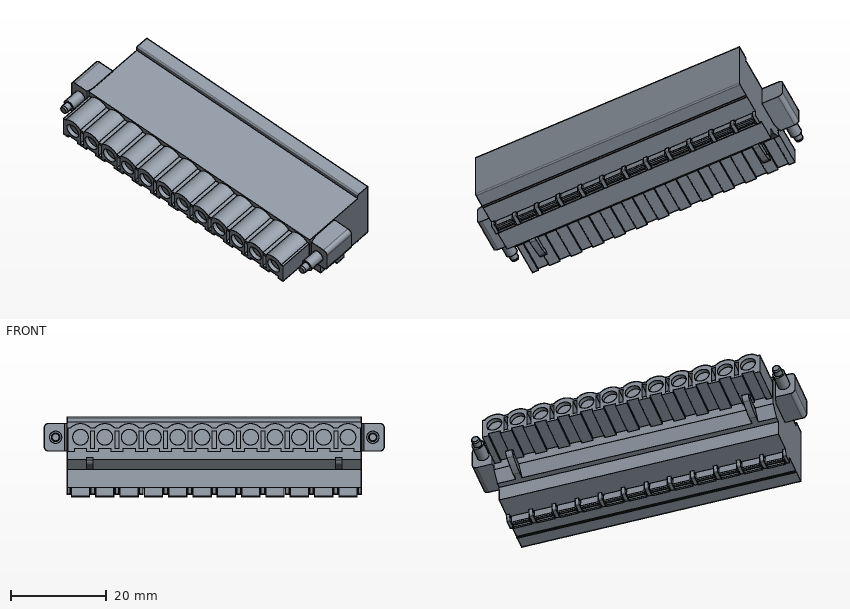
import cadquery as cq


overall_length = 71.1
pole_count = 12
pole_span = 55.9
pole_pitch = pole_span / (pole_count - 1)
pole_axis_z = 12.45

housing_length = 61.5
housing_depth = 18.35
housing_bottom_z = 2.0
housing_top_z = 15.65
lip_top_z = 16.7
lip_depth = 3.2
lip_radius = 0.35
back_edge_radius = 0.3
front_face_bottom_z = 7.75
step_z = 5.7
undercut_depth = 2.2
step_setback = 3.4

sleeve_row_length = 61.15
sleeve_projection = 8.25
sleeve_bottom_z = 9.45
sleeve_shoulder_z = 14.4
crown_radius = 2.85
crown_top_z = 15.3
crown_axis_z = crown_top_z - crown_radius
bore_diameter = 3.3
bore_depth = 1.0
slot_width = 0.85
slot_bottom_z = 10.1
slot_top_z = 13.8
recess_width = 2.55

flange_depth = 7.75
flange_bottom_z = 9.5
flange_top_z = 15.35
flange_radius = 1.0
relief_width = 0.5
relief_depth = 1.85
screw_offset = 33.15
screw_radius = 1.3
screw_length = 3.6
screw_tip_diameter = 1.8
screw_tip_length = 1.7
screw_tip_chamfer_length = 0.4
screw_tip_chamfer_width = 0.15

hook_offset = 26.0
hook_width = 1.4
hook_beam_length = 2.9
hook_tip_y = -4.5
hook_tip_z = 7.7

rib_back_y = 10.9
rib_front_y = 8.05
rib_taper = 0.5
rib_bottom_z = 0.5
rib_edge_radius = 0.2
foot_block_width = 3.85
foot_clearance = 0.2
foot_block_back_y = 10.7
foot_block_front_y = 8.75
foot_depth = 0.65
foot_chamfer = 0.2
bead_y = 15.0
bead_width = 0.4
bead_height = 0.15

pole_positions = [(i - (pole_count - 1) / 2) * pole_pitch for i in range(pole_count)]
gap_positions = [x + pole_pitch / 2 for x in pole_positions[:-1]]


def box(x_range, y_range, z_range):
    """Block given by its limits along each axis."""
    lows, highs = zip(x_range, y_range, z_range)
    sizes = [high - low for low, high in zip(lows, highs)]
    return cq.Workplane("XY").box(*sizes, centered=False).translate(lows)


def centred(middle, width):
    """Limits of a width centred on a middle value."""
    return middle - width / 2, middle + width / 2


def along_x(profile, x_range):
    """Extrude a closed YZ profile between two X limits."""
    start, end = x_range
    return profile.extrude(end - start).translate((start, 0, 0))


def along_front(y_start, x, z):
    """Sketch plane at y_start whose extrusions run towards -Y."""
    return cq.Workplane("XZ", origin=(x, y_start, z))


def make_housing():
    profile = cq.Workplane("YZ").polyline([
        (housing_depth, housing_bottom_z),
        (housing_depth, lip_top_z),
        (housing_depth - lip_depth, lip_top_z),
        (housing_depth - lip_depth, housing_top_z),
        (0, housing_top_z),
        (0, front_face_bottom_z),
        (undercut_depth, step_z),
        (step_setback, step_z),
        (step_setback, housing_bottom_z),
    ]).close()
    body = along_x(profile, centred(0, housing_length))
    lip_edge = cq.selectors.NearestToPointSelector((0, housing_depth - lip_depth, lip_top_z))
    body = body.edges(lip_edge).fillet(lip_radius)
    return body.edges("|X and >Y and <Z").fillet(back_edge_radius)


def make_sleeve_row():
    row_y = (-sleeve_projection, 0)
    row = box(centred(0, sleeve_row_length), row_y, (sleeve_bottom_z, sleeve_shoulder_z))
    for x in pole_positions:
        crown = along_front(0, x, crown_axis_z).circle(crown_radius).extrude(sleeve_projection)
        crown_keep = box(centred(x, pole_pitch), row_y, (pole_axis_z, crown_top_z))
        row = row.union(crown.intersect(crown_keep))
    for x in pole_positions:
        bore = along_front(bore_depth - sleeve_projection, x, pole_axis_z)
        row = row.cut(bore.circle(bore_diameter / 2).extrude(bore_depth))
        row = row.cut(box(centred(x, recess_width), row_y, (sleeve_bottom_z, slot_bottom_z)))
    for x in gap_positions:
        row = row.cut(box(centred(x, slot_width), row_y, (slot_bottom_z, slot_top_z)))
    return row


def make_right_flange():
    inner_x = housing_length / 2
    flange = box(
        (inner_x, overall_length / 2), (0, flange_depth), (flange_bottom_z, flange_top_z)
    ).edges("|Y and >X").fillet(flange_radius)
    relief = (
        cq.Workplane("XY", origin=(0, 0, flange_bottom_z))
        .polyline([(inner_x, 0), (inner_x + relief_width, 0), (inner_x, relief_depth)])
        .close()
        .extrude(flange_top_z - flange_bottom_z)
    )
    shank = along_front(0, screw_offset, pole_axis_z).circle(screw_radius).extrude(screw_length)
    tip = (
        along_front(-screw_length, screw_offset, pole_axis_z)
        .circle(screw_tip_diameter / 2)
        .extrude(screw_tip_length)
        .faces("<Y")
        .chamfer(screw_tip_chamfer_length, screw_tip_chamfer_width)
    )
    return flange.cut(relief).union(shank).union(tip)


def make_hook(x):
    """Beam with a raised nose at its tip, growing out of the sloped undercut."""
    profile = (
        cq.Workplane("YZ")
        .moveTo(undercut_depth, step_z)
        .lineTo(0, front_face_bottom_z)
        .lineTo(-hook_beam_length, front_face_bottom_z)
        .threePointArc((-3.5, 8.25), (-4.05, 8.05))
        .lineTo(hook_tip_y, hook_tip_z)
        .threePointArc((-4.1, 7.05), (-3.5, 6.6))
        .threePointArc((-1.7, 6.05), (0.65, step_z))
        .close()
    )
    return along_x(profile, centred(x, hook_width))


def make_rib(x_range):
    profile = cq.Workplane("YZ").polyline([
        (rib_back_y, housing_bottom_z),
        (rib_front_y, housing_bottom_z),
        (rib_front_y + rib_taper, rib_bottom_z),
        (rib_back_y, rib_bottom_z),
    ]).close()
    return along_x(profile, x_range).edges("|X and <Z").fillet(rib_edge_radius)


def make_foot_block(x):
    x_range = centred(x, foot_block_width)
    block = box(x_range, (foot_block_front_y, foot_block_back_y), (0, housing_bottom_z))
    block = block.edges("|X and <Z").chamfer(foot_chamfer)
    groove_y = (foot_block_front_y + foot_depth, foot_block_back_y - foot_depth)
    return block.cut(box(x_range, groove_y, (0, rib_bottom_z)))


result = make_housing().union(make_sleeve_row())

right_flange = make_right_flange()
result = result.union(right_flange).union(right_flange.mirror("YZ"))

for side in (-1, 1):
    result = result.union(make_hook(side * hook_offset))

rib_width = pole_pitch - foot_block_width - 2 * foot_clearance
for x in gap_positions:
    result = result.union(make_rib(centred(x, rib_width)))
end_rib_inner_x = pole_span / 2 + foot_block_width / 2 + foot_clearance
result = result.union(make_rib((end_rib_inner_x, housing_length / 2)))
result = result.union(make_rib((-housing_length / 2, -end_rib_inner_x)))

for x in pole_positions:
    result = result.union(make_foot_block(x))

bead_z = (housing_bottom_z - bead_height, housing_bottom_z)
result = result.union(box(centred(0, housing_length), centred(bead_y, bead_width), bead_z))